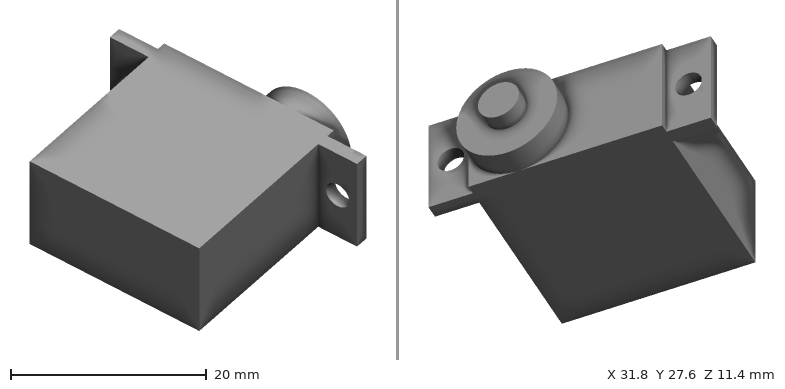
import cadquery as cq

overall_length = 31.8
height = 11.4
tab_length = 5.0
tab_thickness = 1.55
tab_front = 20.0
case_depth = 22.6
hole_diameter = 3.0
hole_inset = 2.5
gear_cap_depth = 3.0
shaft_diameter = 4.6
shaft_length = 2.0

case_length = overall_length - 2 * tab_length
gear_cap_diameter = height
shaft_x = (case_length - gear_cap_diameter) / 2
hole_x = overall_length / 2 - hole_inset


def block(length, depth, front_y):
    """Full-height block centred in X and Z, running back from front_y."""
    return cq.Workplane("XY").box(length, depth, height, centered=(True, False, True)).translate((0, front_y, 0))


def cylinder(diameter, length, x, front_y):
    """Cylinder along +Y, starting at front_y."""
    axis_plane = cq.Plane(origin=(x, front_y, 0), xDir=(1, 0, 0), normal=(0, 1, 0))
    return cq.Workplane(axis_plane).circle(diameter / 2).extrude(length)


case = block(case_length, case_depth, 0)
tabs = block(overall_length, tab_thickness, tab_front)
result = case.union(tabs)

for x in (-hole_x, hole_x):
    result = result.cut(cylinder(hole_diameter, tab_thickness, x, tab_front))

gear_cap = cylinder(gear_cap_diameter, gear_cap_depth, shaft_x, case_depth)
shaft = cylinder(shaft_diameter, shaft_length, shaft_x, case_depth + gear_cap_depth)
result = result.union(gear_cap).union(shaft)